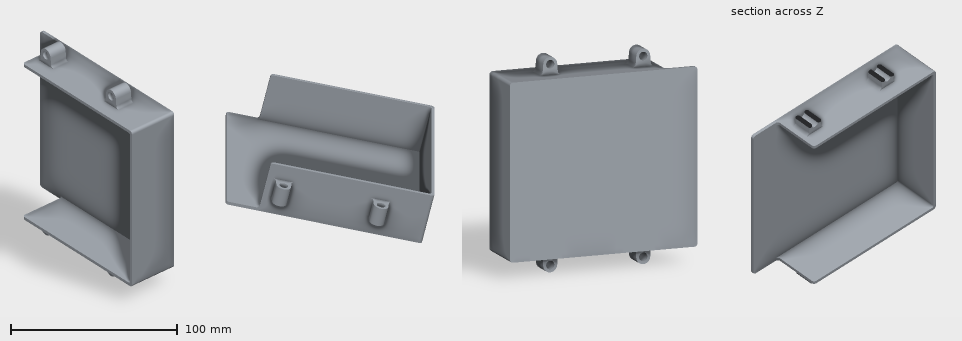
import cadquery as cq
import math

width = 121.0
depth = 33.5
total_height = 132.7

ear_height = 10.9
tray_height = total_height - 2 * ear_height
wall = 2.0
corner_radius = 2.0
inner_corner_radius = 1.0
step_x = 20.3

ear_spacing = 60.0
first_ear_x = 30.4
ear_thickness = 12.0
ear_radius = 4.5
ear_base_half_width = 5.0
ear_fillet = 2.0
ear_hole_diameter = 5.3
ear_root = wall / 2
ear_mid_y = -(depth + wall) / 2



def make_tray():
    """Back plate with top, bottom and right walls; front and left sides are open."""
    body = (
        cq.Workplane("XZ")
        .rect(width, tray_height)
        .extrude(depth)
        .edges("|Y")
        .fillet(corner_radius)
        .translate((width / 2, 0, 0))
    )
    cavity = (
        cq.Workplane("XZ", origin=(0, -wall, 0))
        .rect(2 * (width - wall), tray_height - 2 * wall)
        .extrude(depth)
        .edges("|Y and >X")
        .fillet(inner_corner_radius)
    )
    step = (
        cq.Workplane("XY")
        .rect(2 * step_x, 2 * (depth - wall))
        .extrude(tray_height / 2, both=True)
        .translate((0, -depth, 0))
    )
    tray = body.cut(cavity).cut(step)
    step_edges = tray.edges(cq.selectors.BoxSelector(
        (step_x - wall / 2, -depth - wall, -tray_height),
        (step_x + wall / 2, 0, tray_height),
    )).edges("|Z")
    return step_edges.fillet(corner_radius)


def make_ear():
    """Upward ear with its base on Z = 0 and its middle on X = 0, Y = 0."""
    hole_z = ear_height - ear_radius
    base_distance = math.hypot(ear_base_half_width, hole_z)
    flank_angle = math.acos(ear_radius / base_distance) - math.atan2(hole_z, ear_base_half_width)
    tangent_x = ear_radius * math.cos(flank_angle)
    tangent_z = hole_z + ear_radius * math.sin(flank_angle)

    tangent_length = ear_fillet * math.tan((math.pi / 2 - flank_angle) / 2)
    foot_x = ear_base_half_width + tangent_length
    fillet_x = ear_base_half_width - tangent_length * math.sin(flank_angle)
    fillet_z = tangent_length * math.cos(flank_angle)
    middle_angle = (math.pi / 2 - flank_angle) / 2
    middle_x = foot_x - ear_fillet * math.sin(middle_angle)
    middle_z = ear_fillet * (1 - math.cos(middle_angle))

    return (
        cq.Workplane("XZ")
        .moveTo(-foot_x, -ear_root)
        .lineTo(foot_x, -ear_root)
        .lineTo(foot_x, 0)
        .threePointArc((middle_x, middle_z), (fillet_x, fillet_z))
        .lineTo(tangent_x, tangent_z)
        .threePointArc((0, ear_height), (-tangent_x, tangent_z))
        .lineTo(-fillet_x, fillet_z)
        .threePointArc((-middle_x, middle_z), (-foot_x, 0))
        .close()
        .extrude(ear_thickness / 2, both=True)
        .cut(
            cq.Workplane("XZ", origin=(0, 0, hole_z))
            .circle(ear_hole_diameter / 2)
            .extrude(ear_thickness, both=True)
        )
    )


result = make_tray()
for ear_x in (first_ear_x, first_ear_x + ear_spacing):
    top_ear = make_ear().translate((ear_x, ear_mid_y, tray_height / 2))
    result = result.union(top_ear).union(top_ear.mirror("XY"))